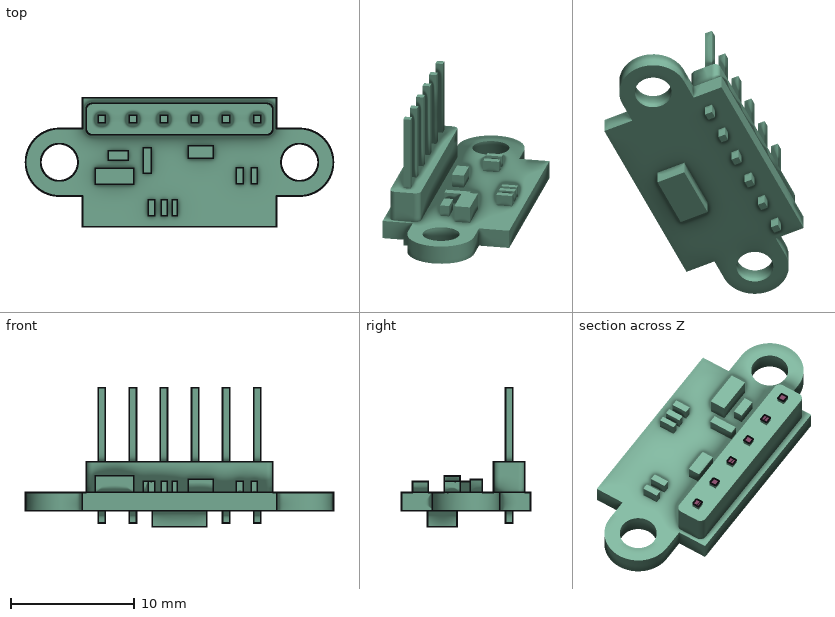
import cadquery as cq

board_length = 15.75
board_width = 10.5
board_thickness = 1.5
overall_length = 25
ear_radius = 2.75
ear_hole_diameter = 3
ear_spacing = overall_length - 2 * ear_radius

pin_count = 6
pin_pitch = 2.52
pin_size = 0.6
pin_top = 8.5
pin_tail = 1
header_y = 3.5
header_length = pin_count * pin_pitch
header_width = 2.55
header_height = 2.5
header_corner_radius = 0.5

sensor_length = 4.45
sensor_width = 2.4
sensor_height = 1.3
sensor_y = -1.92

chip_height = 0.9
chip_length = 1.3
right_pair_y = -1.1
front_row_y = -3.7

top_parts = [
    (-5.28, -1.12, 3.1, chip_length, 1.35),
    (-4.98, 0.55, 1.6, 0.75, chip_height),
    (-2.6, 0.15, 0.65, 2.05, chip_height),
    (1.72, 0.82, 2.05, 1, 1.05),
    (4.9, right_pair_y, 0.55, chip_length, chip_height),
    (6.08, right_pair_y, 0.5, chip_length, chip_height),
    (-2.28, front_row_y, 0.55, chip_length, chip_height),
    (-1.25, front_row_y, 0.5, chip_length, chip_height),
    (-0.38, front_row_y, 0.42, chip_length, chip_height),
]


def block(x, y, bottom, length, width, height):
    """Box centred on (x, y) that rises from the given bottom level."""
    return cq.Workplane("XY").box(length, width, height, centered=(True, True, False)).translate((x, y, bottom))


def make_board():
    plate = block(0, 0, -board_thickness, board_length, board_width, board_thickness)
    ears = (
        cq.Workplane("XY")
        .workplane(offset=-board_thickness)
        .slot2D(overall_length, 2 * ear_radius)
        .extrude(board_thickness)
    )
    holes = (
        cq.Workplane("XY")
        .pushPoints([(-ear_spacing / 2, 0), (ear_spacing / 2, 0)])
        .circle(ear_hole_diameter / 2)
        .extrude(-board_thickness)
    )
    return plate.union(ears).cut(holes)


def make_header():
    header = block(0, header_y, 0, header_length, header_width, header_height)
    header = header.edges("|Z").fillet(header_corner_radius)
    pin_bottom = -board_thickness - pin_tail
    for i in range(pin_count):
        pin_x = (i - (pin_count - 1) / 2) * pin_pitch
        pin = block(pin_x, header_y, pin_bottom, pin_size, pin_size, pin_top - pin_bottom)
        header = header.union(pin)
    return header


def make_sensor():
    sensor_bottom = -board_thickness - sensor_height
    return block(0, sensor_y, sensor_bottom, sensor_length, sensor_width, sensor_height)


result = make_board().union(make_header()).union(make_sensor())
for x, y, length, width, height in top_parts:
    result = result.union(block(x, y, 0, length, width, height))